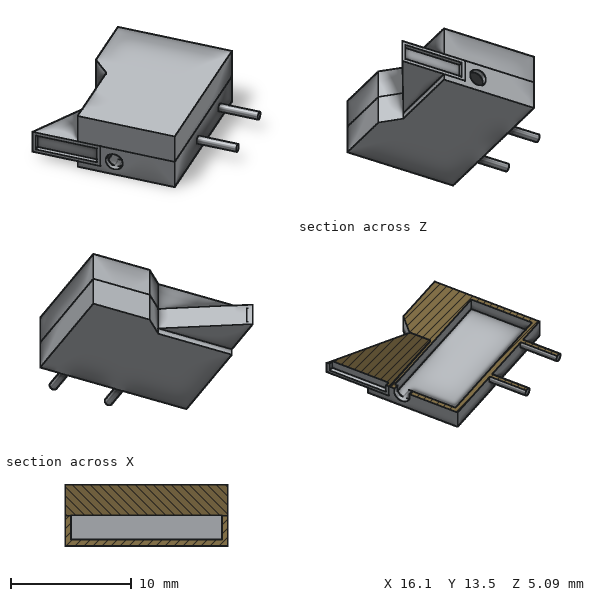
import cadquery as cq

housing_right = 12.6
housing_depth = 13.5
housing_height = 5.09
base_height = housing_height / 2
front_left = 4.0
rear_left = 2.5
notch_rear = 8.32
notch_front = 6.8

wedge_width = 6.0
wedge_height = 2.0
wedge_bottom = base_height - wedge_height
wedge_wall = 0.3
wedge_pocket_depth = 0.4

front_wall = 0.5
floor_thickness = 0.55
side_wall = 0.5
window_diameter = 1.5
window_x = 7.25
window_z = base_height / 2
window_bore_length = 1.5
wedge_side_wall = 0.3
hollow_left = wedge_width + wedge_side_wall

pin_end = 16.1
pin_diameter = 0.7
pin_front_y = 5.5
pin_spacing = 5.09
pin_count = 2


def housing_slab(bottom, height):
    """Slab with the housing outline: narrow in front, wider behind a slanted step."""
    outline = [
        (front_left, 0),
        (housing_right, 0),
        (housing_right, housing_depth),
        (rear_left, housing_depth),
        (rear_left, notch_rear),
        (front_left, notch_front),
    ]
    return cq.Workplane("XY", origin=(0, 0, bottom)).polyline(outline).close().extrude(height)


def wedge_blank():
    """Triangular prism whose slanted side runs back to the housing step."""
    outline = [
        (0, 0),
        (wedge_width, 0),
        (wedge_width, notch_front),
        (front_left, notch_front),
    ]
    return cq.Workplane("XY", origin=(0, 0, wedge_bottom)).polyline(outline).close().extrude(wedge_height)


def make_wedge():
    """Wedge with a shallow rectangular pocket in its front face."""
    pocket = cq.Workplane("XY").box(
        wedge_width - 2 * wedge_wall,
        wedge_pocket_depth,
        wedge_height - 2 * wedge_wall,
        centered=False,
    )
    return wedge_blank().cut(pocket.translate((wedge_wall, 0, wedge_bottom + wedge_wall)))


def make_pin(y):
    """Round pin standing out from the right face."""
    return (
        cq.Workplane("YZ", origin=(housing_right, y, base_height / 2))
        .circle(pin_diameter / 2)
        .extrude(pin_end - housing_right)
    )


def make_base():
    """Lower housing half with its pins; the window bore just grazes the hollow floor."""
    base = housing_slab(0, base_height).cut(wedge_blank())
    hollow = cq.Workplane("XY").box(
        housing_right - side_wall - hollow_left,
        housing_depth - front_wall - side_wall,
        base_height - floor_thickness,
        centered=False,
    )
    base = base.cut(hollow.translate((hollow_left, front_wall, floor_thickness)))
    window = (
        cq.Workplane("XZ", origin=(window_x, 0, window_z))
        .circle(window_diameter / 2)
        .extrude(-window_bore_length)
    )
    base = base.cut(window)
    for index in range(pin_count):
        base = base.union(make_pin(pin_front_y + index * pin_spacing))
    return base


base = make_base()
cover = housing_slab(base_height, housing_height - base_height)
wedge = make_wedge()

result = cq.Compound.makeCompound([base.val(), cover.val(), wedge.val()])